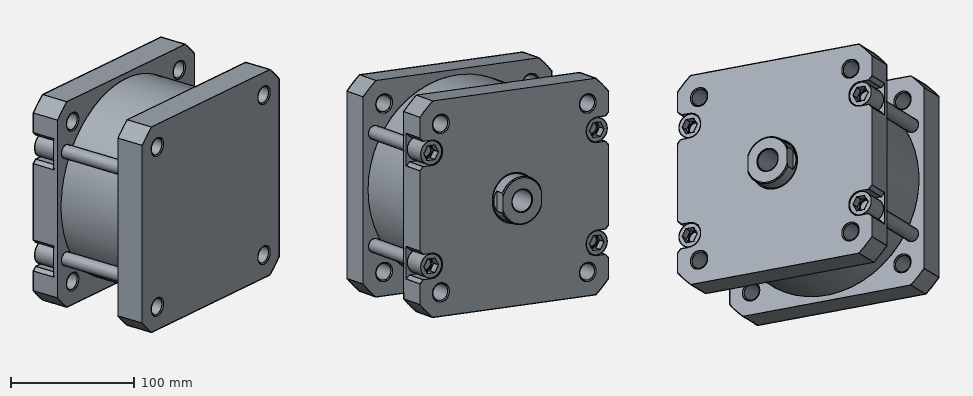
import cadquery as cq
import math

OVERLAP = 1.8

PLATE_SIDE = 180.0
PLATE_THICKNESS = 25.0
BARREL_LENGTH = 62.1
ROD_PROJECTION = 12.0
FRONT_INNER_X = PLATE_THICKNESS
REAR_INNER_X = FRONT_INNER_X + BARREL_LENGTH

CORNER_RADIUS = 119.0
MOUNT_SPACING = 140.0
MOUNT_DIAMETER = 14.0
MOUNT_CHAMFER = 0.99

BARREL_DIAMETER = 170.6
ROD_DIAMETER = 40.0
ROD_CHAMFER = 0.9
ROD_FLAT_WIDTH = 36.4
ROD_FLAT_LENGTH = 9.7
ROD_BORE_DIAMETER = 18.5
ROD_BORE_DEPTH = 28.8
ROD_BORE_CHAMFER = 0.5
DRILL_POINT_ANGLE = 118.0
GLAND_CHAMFER = 1.0

BOLT_SPACING_Y = 158.0
BOLT_SPACING_Z = 94.0
BOLT_DIAMETER = 11.7
BOLT_HEAD_DIAMETER = 20.0
BOLT_HEAD_HEIGHT = 20.5
BOLT_HEAD_RECESS = 0.5
POCKET_DEPTH = BOLT_HEAD_RECESS + BOLT_HEAD_HEIGHT
BOLT_THREAD_ENGAGEMENT = 18.0
BOLT_END_X = REAR_INNER_X + BOLT_THREAD_ENGAGEMENT
SOCKET_WIDTH = 12.0
SOCKET_DEPTH = 7.2
SOCKET_PILOT_DIAMETER = 10.3
SOCKET_PILOT_DEPTH = 1.8
POCKET_WIDTH = 21.0
POCKET_MOUTH_CHAMFER = 3.0

BOLT_CENTRES = [
    (side_y * BOLT_SPACING_Y / 2, side_z * BOLT_SPACING_Z / 2) for side_y in (-1, 1) for side_z in (-1, 1)
]
MOUNT_CENTRES = [
    (side_y * MOUNT_SPACING / 2, side_z * MOUNT_SPACING / 2) for side_y in (-1, 1) for side_z in (-1, 1)
]


def rod_along_x(diameter, start_x, end_x, centre=(0, 0)):
    """Round bar along X between two X positions, centred at (y, z)."""
    return cq.Workplane("YZ", origin=(start_x, *centre)).circle(diameter / 2).extrude(end_x - start_x)


def make_mount_hole(start_x, end_x, centre):
    """Cutter for a through hole chamfered at both plate faces."""
    radius = MOUNT_DIAMETER / 2
    wide = radius + MOUNT_CHAMFER
    profile = [
        (start_x, 0),
        (start_x, wide),
        (start_x + MOUNT_CHAMFER, radius),
        (end_x - MOUNT_CHAMFER, radius),
        (end_x, wide),
        (end_x, 0),
    ]
    hole = cq.Workplane("XY").polyline(profile).close().revolve(360, (0, 0, 0), (1, 0, 0))
    return hole.translate((0, *centre))


def make_plate(start_x):
    """Square plate with turned corners and four mounting holes."""
    end_x = start_x + PLATE_THICKNESS
    plate = cq.Workplane("YZ", origin=(start_x, 0, 0)).rect(PLATE_SIDE, PLATE_SIDE).extrude(PLATE_THICKNESS)
    plate = plate.intersect(rod_along_x(2 * CORNER_RADIUS, start_x, end_x))
    for centre in MOUNT_CENTRES:
        plate = plate.cut(make_mount_hole(start_x, end_x, centre))
    return plate


def make_head_pocket(centre):
    """Cutter for a bolt head pocket that opens through the nearest Y side of the front plate."""
    centre_y, centre_z = centre
    side = math.copysign(1, centre_y)
    radius = POCKET_WIDTH / 2
    edge_y = side * PLATE_SIDE / 2
    outside_y = edge_y + side * OVERLAP
    mouth_y = edge_y - side * POCKET_MOUTH_CHAMFER
    mouth_half = radius + POCKET_MOUTH_CHAMFER
    return (
        cq.Workplane("YZ")
        .moveTo(centre_y, centre_z - radius)
        .lineTo(mouth_y, centre_z - radius)
        .lineTo(edge_y, centre_z - mouth_half)
        .lineTo(outside_y, centre_z - mouth_half)
        .lineTo(outside_y, centre_z + mouth_half)
        .lineTo(edge_y, centre_z + mouth_half)
        .lineTo(mouth_y, centre_z + radius)
        .lineTo(centre_y, centre_z + radius)
        .threePointArc((centre_y - side * radius, centre_z), (centre_y, centre_z - radius))
        .close()
        .extrude(POCKET_DEPTH)
    )


def make_front_plate():
    """Plate with the chamfered rod opening, the head pockets and the bolt clearance holes."""
    plate = make_plate(0).cut(rod_along_x(ROD_DIAMETER, 0, FRONT_INNER_X))
    rod_opening = cq.selectors.RadiusNthSelector(1)
    plate = plate.faces("<X").edges(rod_opening).chamfer(GLAND_CHAMFER)
    for centre in BOLT_CENTRES:
        plate = plate.cut(make_head_pocket(centre))
        plate = plate.cut(rod_along_x(BOLT_DIAMETER, 0, FRONT_INNER_X, centre))
    return plate


def make_rear_plate():
    """Plate with blind holes for the ends of the tie bolts."""
    plate = make_plate(REAR_INNER_X)
    for centre in BOLT_CENTRES:
        plate = plate.cut(rod_along_x(BOLT_DIAMETER, REAR_INNER_X, BOLT_END_X, centre))
    return plate


def make_rod_bore():
    """Cutter for the blind rod bore, with a chamfered mouth and a drill point."""
    radius = ROD_BORE_DIAMETER / 2
    mouth_x = -ROD_PROJECTION
    floor_x = mouth_x + ROD_BORE_DEPTH
    point_x = floor_x + radius / math.tan(math.radians(DRILL_POINT_ANGLE / 2))
    profile = [
        (mouth_x, 0),
        (mouth_x, radius + ROD_BORE_CHAMFER),
        (mouth_x + ROD_BORE_CHAMFER, radius),
        (floor_x, radius),
        (point_x, 0),
    ]
    return cq.Workplane("XY").polyline(profile).close().revolve(360, (0, 0, 0), (1, 0, 0))


def make_flat_cutter():
    """Cutter for the wrench flat on the +Y side of the rod, ending in a 45 degree run-out."""
    flat_y = ROD_FLAT_WIDTH / 2
    outer_y = ROD_DIAMETER / 2 + OVERLAP
    start_x = -ROD_PROJECTION
    end_x = start_x + ROD_FLAT_LENGTH
    profile = [
        (start_x, flat_y),
        (end_x, flat_y),
        (end_x + outer_y - flat_y, outer_y),
        (start_x, outer_y),
    ]
    return cq.Workplane("XY").polyline(profile).close().extrude(ROD_DIAMETER / 2, both=True)


def make_piston_rod():
    """Rod that runs through the front plate to the barrel, with two flats and an end bore."""
    rod = rod_along_x(ROD_DIAMETER, -ROD_PROJECTION, FRONT_INNER_X)
    rod = rod.faces("<X").chamfer(ROD_CHAMFER)
    flat = make_flat_cutter()
    return rod.cut(flat).cut(flat.mirror("XZ")).cut(make_rod_bore())


def make_tie_bolt(centre):
    """Socket-head bolt whose head sits just below the outer face of the front plate."""
    head = rod_along_x(BOLT_HEAD_DIAMETER, BOLT_HEAD_RECESS, POCKET_DEPTH, centre)
    shank = rod_along_x(BOLT_DIAMETER, POCKET_DEPTH, BOLT_END_X, centre)
    socket_corner_diameter = SOCKET_WIDTH / math.cos(math.pi / 6)
    head_face = cq.Workplane("YZ", origin=(BOLT_HEAD_RECESS, *centre))
    socket = head_face.polygon(6, socket_corner_diameter).extrude(SOCKET_DEPTH)
    pilot_end_x = BOLT_HEAD_RECESS + SOCKET_DEPTH + SOCKET_PILOT_DEPTH
    pilot = rod_along_x(SOCKET_PILOT_DIAMETER, BOLT_HEAD_RECESS, pilot_end_x, centre)
    return head.union(shank).cut(socket).cut(pilot)


front_plate = make_front_plate()
rear_plate = make_rear_plate()
barrel = rod_along_x(BARREL_DIAMETER, FRONT_INNER_X, REAR_INNER_X)
piston_rod = make_piston_rod()
tie_bolts = [make_tie_bolt(centre) for centre in BOLT_CENTRES]

result = cq.Compound.makeCompound(
    [
        front_plate.val(),
        rear_plate.val(),
        barrel.val(),
        piston_rod.val(),
        *[bolt.val() for bolt in tie_bolts],
    ]
)